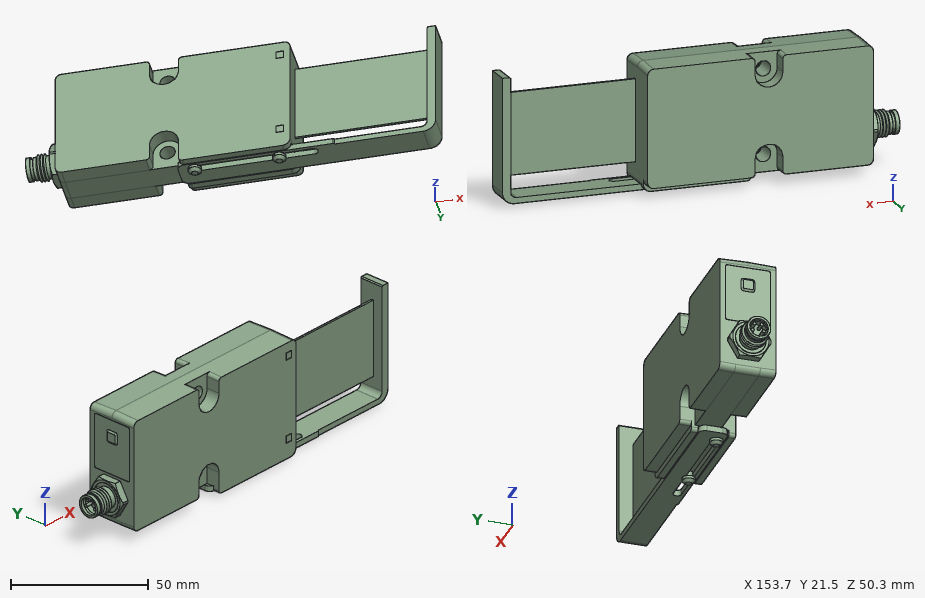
import cadquery as cq
import math


HOUSING_LENGTH = 87.6
HOUSING_WIDTH = 21.5
HOUSING_HEIGHT = 45.8
TOP_DRAFT = 0.3
BOTTOM_DRAFT = 0.2
BOTTOM_STRIP_WIDTH = 9.5
CORNER_RADIUS = 2.3
HALF_WIDTH = HOUSING_WIDTH / 2

MOUNT_X = 40.6
MOUNT_Z_LOW = 6.8
MOUNT_Z_HIGH = 39.4
MOUNT_HOLE_DIAMETER = 5.7
POCKET_WIDTH = 10.8
POCKET_FLOOR_Y = 4.9
POCKET_LIP_RADIUS = 1.4

FOOT_START_X = MOUNT_X + POCKET_WIDTH / 2
FOOT_BACK_Y = 6.3
FOOT_DEPTH = 2.3
FOOT_END_RADIUS = 2.9
CHANNEL_FRONT_Y = -8.1
CHANNEL_BACK_Y = 3.7

WINDOW_SIZE = 2.9
WINDOW_X = 83.8
WINDOW_DEPTH = 0.2
WINDOW_Z = (5.7, 40.0)
PANEL_WIDTH = 17.2
PANEL_BOTTOM_Z = 20.1
PANEL_TOP_Z = 42.6
PANEL_DEPTH = 0.2
PANEL_RADIUS = 0.8
BUTTON_SIZE = 5.2
BUTTON_Z = 35.5
BUTTON_RADIUS = 1.0
BUTTON_RISE = 0.5
BUTTON_SLOPE_WIDTH = 0.8

CONNECTOR_Z = 12.0
CONNECTOR_LENGTH = 12.6
NUT_THICKNESS = 3.2
NUT_FLATS = 14.1
NUT_CORNER_WIDTH = 15.8
NUT_FACE_RADIUS = 6.9
NUT_CHAMFER = 0.8
NUT_RECESS_RADIUS = 5.8
NUT_RECESS_DEPTH = 0.5
RIM_RADIUS = 4.5
RIM_LENGTH = 1.5
GROOVE_RADIUS = 3.8
GROOVE_LENGTH = 1.0
NECK_RADIUS = 4.3
THREAD_RADIUS = 5.0
THREAD_START = 3.8
THREAD_PITCH = 1.2
THREAD_TURNS = 3
SOCKET_RADIUS = 3.5
SOCKET_DEPTH = 4.6
PIN_RADIUS = 0.6
PIN_LENGTH = 3.7
PIN_PLACES = ((-1.4, 1.8), (1.4, 1.8), (-2.2, -0.8), (2.2, -0.8))

BRACKET_START_X = 44.6
BRACKET_END_X = 141.1
BRACKET_FRONT_Y = -7.2
BRACKET_BACK_Y = 3.2
WIDE_FRONT_Y = -7.7
WIDE_END_X = 103.5
BRACKET_START_RADIUS = 2.5
PLATE_THICKNESS = 3.2
PLATE_CHAMFER = 0.5
BEND_INNER_RADIUS = 2.3
BEND_OUTER_RADIUS = 4.6
SLOT_WIDTH = 3.0
SLOT_END_X = 96.7

SCREW_Y = -4.8
SCREW_X = (50.7, 82.2)
SHANK_DIAMETER = SLOT_WIDTH
SHANK_DEPTH = 4.6
HEAD_RADIUS = 2.5
HEAD_RIM_HEIGHT = 1.0
HEAD_TOP_RADIUS = 1.2
HEAD_HEIGHT = 2.2

BAND_BOTTOM_Z = 6.9
BAND_TOP_Z = 38.5
BAND_FRONT_Y = -3.0
BAND_THICKNESS = 0.9


def box(x_range, y_range, z_range):
    """Box between the given limits along each axis."""
    size = [high - low for low, high in (x_range, y_range, z_range)]
    return (
        cq.Workplane("XY")
        .box(*size, centered=False)
        .translate((x_range[0], y_range[0], z_range[0]))
    )


def cylinder_along_x(radius, x_start, x_end):
    """Cylinder on the connector axis."""
    return (
        cq.Workplane("YZ", origin=(x_start, 0, CONNECTOR_Z))
        .circle(radius)
        .extrude(x_end - x_start)
    )


def make_shell():
    """Main block: the top slopes down from a central ridge and the bottom up from a flat strip."""
    side_top = HOUSING_HEIGHT - TOP_DRAFT
    return (
        cq.Workplane("YZ")
        .polyline(
            [
                (-HALF_WIDTH, BOTTOM_DRAFT),
                (-BOTTOM_STRIP_WIDTH / 2, 0),
                (BOTTOM_STRIP_WIDTH / 2, 0),
                (HALF_WIDTH, BOTTOM_DRAFT),
                (HALF_WIDTH, side_top),
                (0, HOUSING_HEIGHT),
                (-HALF_WIDTH, side_top),
            ]
        )
        .close()
        .extrude(HOUSING_LENGTH)
        .faces("<X or >X")
        .edges("not |Z")
        .fillet(CORNER_RADIUS)
    )


def make_foot():
    """Foot under the rear of the housing, channelled lengthwise for the bracket."""
    top_z = CORNER_RADIUS + FOOT_END_RADIUS
    foot = box((FOOT_START_X, HOUSING_LENGTH), (-HALF_WIDTH, FOOT_BACK_Y), (-FOOT_DEPTH, top_z))
    foot = foot.edges("<Z and >X").fillet(FOOT_END_RADIUS)
    foot = foot.edges("<Z and <X").fillet(POCKET_LIP_RADIUS)
    channel = box(
        (FOOT_START_X, HOUSING_LENGTH), (CHANNEL_FRONT_Y, CHANNEL_BACK_Y), (-FOOT_DEPTH, 0)
    )
    return foot.cut(channel)


def cut_pocket(shell, mount_z, direction, side):
    """Cut a pocket that opens up (direction 1) or down (-1), in the front (side -1) or back (1)."""
    half = POCKET_WIDTH / 2
    depth = HALF_WIDTH - POCKET_FLOOR_Y
    open_z = HOUSING_HEIGHT if direction > 0 else 0
    pocket = (
        cq.Workplane("XZ", origin=(MOUNT_X, max(side * POCKET_FLOOR_Y, side * HALF_WIDTH), 0))
        .moveTo(-half, open_z)
        .lineTo(-half, mount_z)
        .threePointArc((0, mount_z - direction * half), (half, mount_z))
        .lineTo(half, open_z)
        .close()
        .extrude(depth)
    )
    pocketed = shell.cut(pocket)
    middle_y = side * (HALF_WIDTH + POCKET_FLOOR_Y) / 2
    for lip_x in (MOUNT_X - half, MOUNT_X + half):
        lip = cq.selectors.NearestToPointSelector((lip_x, middle_y, open_z))
        pocketed = pocketed.edges(lip).fillet(POCKET_LIP_RADIUS)
    return pocketed


def make_mount_holes():
    return (
        cq.Workplane("XZ", origin=(MOUNT_X, HALF_WIDTH, 0))
        .pushPoints([(0, MOUNT_Z_LOW), (0, MOUNT_Z_HIGH)])
        .circle(MOUNT_HOLE_DIAMETER / 2)
        .extrude(HOUSING_WIDTH)
    )


def make_windows():
    """Shallow square windows in the front face."""
    return (
        cq.Workplane("XZ", origin=(WINDOW_X, -HALF_WIDTH + WINDOW_DEPTH, 0))
        .pushPoints([(0, z) for z in WINDOW_Z])
        .rect(WINDOW_SIZE, WINDOW_SIZE)
        .extrude(WINDOW_DEPTH)
    )


def make_panel():
    """Shallow recess in the connector end of the housing."""
    panel = box(
        (0, PANEL_DEPTH), (-PANEL_WIDTH / 2, PANEL_WIDTH / 2), (PANEL_BOTTOM_Z, PANEL_TOP_Z)
    )
    return panel.edges("|X").fillet(PANEL_RADIUS)


def rounded_square(size, radius):
    return cq.Sketch().rect(size, size).vertices().fillet(radius)


def make_button():
    """Raised square button in the panel, with a sloping border around its face."""
    base = rounded_square(BUTTON_SIZE, BUTTON_RADIUS)
    face = rounded_square(BUTTON_SIZE - 2 * BUTTON_SLOPE_WIDTH, BUTTON_RADIUS - BUTTON_SLOPE_WIDTH)
    rise = BUTTON_RISE + PANEL_DEPTH
    return (
        cq.Workplane("YZ", origin=(PANEL_DEPTH, 0, BUTTON_Z))
        .placeSketch(base, face.moved(cq.Location(cq.Vector(0, 0, -rise))))
        .loft()
    )


def make_nut():
    """Hexagon nut with flats above and below, two cut corners and a recessed, chamfered face."""
    hexagon = (
        cq.Workplane("YZ", origin=(-NUT_THICKNESS, 0, CONNECTOR_Z))
        .polygon(6, NUT_FLATS / math.cos(math.pi / 6))
        .extrude(NUT_THICKNESS)
    )
    half = NUT_CORNER_WIDTH / 2
    corner_limit = box((-NUT_THICKNESS, 0), (-half, half), (0, CONNECTOR_Z + NUT_FLATS))
    chamfer_limit = (
        cylinder_along_x(NUT_FACE_RADIUS + 2 * NUT_CHAMFER, -NUT_THICKNESS, 0)
        .faces("<X")
        .chamfer(NUT_CHAMFER, 2 * NUT_CHAMFER)
    )
    recess = cylinder_along_x(NUT_RECESS_RADIUS, -NUT_THICKNESS, -NUT_THICKNESS + NUT_RECESS_DEPTH)
    return hexagon.intersect(corner_limit).intersect(chamfer_limit).cut(recess)


def make_barrel():
    """Threaded barrel with a socket, turned about the connector axis."""
    tip_x = -CONNECTOR_LENGTH
    thread_x = tip_x + THREAD_START
    profile = (
        cq.Workplane("XY")
        .moveTo(0, 0)
        .lineTo(tip_x + SOCKET_DEPTH, 0)
        .lineTo(tip_x + SOCKET_DEPTH, SOCKET_RADIUS)
        .lineTo(tip_x, SOCKET_RADIUS)
        .lineTo(tip_x, RIM_RADIUS)
        .lineTo(tip_x + RIM_LENGTH, RIM_RADIUS)
        .lineTo(tip_x + RIM_LENGTH, GROOVE_RADIUS)
        .lineTo(tip_x + RIM_LENGTH + GROOVE_LENGTH, GROOVE_RADIUS)
        .lineTo(tip_x + RIM_LENGTH + GROOVE_LENGTH, NECK_RADIUS)
    )
    for turn in range(THREAD_TURNS):
        root_x = thread_x + turn * THREAD_PITCH
        profile = profile.lineTo(root_x, NECK_RADIUS)
        profile = profile.lineTo(root_x + THREAD_PITCH / 2, THREAD_RADIUS)
    profile = profile.lineTo(thread_x + THREAD_TURNS * THREAD_PITCH, NECK_RADIUS).lineTo(0, NECK_RADIUS)
    return profile.close().revolve(360, (0, 0), (1, 0)).translate((0, 0, CONNECTOR_Z))


def make_contact_pins():
    return (
        cq.Workplane("YZ", origin=(-CONNECTOR_LENGTH + SOCKET_DEPTH, 0, CONNECTOR_Z))
        .pushPoints(PIN_PLACES)
        .circle(PIN_RADIUS)
        .extrude(-PIN_LENGTH)
    )


def make_housing():
    """Sensor housing with its built-in connector."""
    housing = make_shell()
    for side in (-1, 1):
        housing = cut_pocket(housing, MOUNT_Z_LOW, -1, side)
        housing = cut_pocket(housing, MOUNT_Z_HIGH, 1, side)
    housing = housing.union(make_foot()).cut(make_mount_holes())
    housing = housing.cut(make_windows()).cut(make_panel()).union(make_button())
    housing = housing.union(make_nut()).union(make_barrel()).union(make_contact_pins())
    for x in SCREW_X:
        housing = housing.cut(make_shank(x))
    return housing


def make_widening():
    """Wider stretch along the front edge of the bracket strip, with a sloping end."""
    step = BRACKET_FRONT_Y - WIDE_FRONT_Y
    return (
        cq.Workplane("XY", origin=(0, 0, -FOOT_DEPTH))
        .polyline(
            [
                (BRACKET_START_X, BRACKET_BACK_Y),
                (BRACKET_START_X, WIDE_FRONT_Y),
                (WIDE_END_X - step, WIDE_FRONT_Y),
                (WIDE_END_X, BRACKET_FRONT_Y),
                (WIDE_END_X, BRACKET_BACK_Y),
            ]
        )
        .close()
        .extrude(FOOT_DEPTH)
    )


def make_bracket():
    """L-shaped bracket: a slotted strip under the housing, bent up into an end plate."""
    y_range = (BRACKET_FRONT_Y, BRACKET_BACK_Y)
    blank = box((BRACKET_START_X, BRACKET_END_X), y_range, (-FOOT_DEPTH, HOUSING_HEIGHT))
    blank = blank.edges("<Z and >X").fillet(BEND_OUTER_RADIUS)
    inside = box((BRACKET_START_X, BRACKET_END_X - PLATE_THICKNESS), y_range, (0, HOUSING_HEIGHT))
    inside = inside.edges("<Z and >X").fillet(BEND_INNER_RADIUS)
    plate_top = blank.cut(inside).faces(">Z").edges("<X")
    bracket = plate_top.chamfer(PLATE_CHAMFER).union(make_widening())
    bracket = bracket.edges("|Z and <X").fillet(BRACKET_START_RADIUS)

    slot_start_x = SCREW_X[0] - SLOT_WIDTH / 2
    slot = (
        cq.Workplane("XY", origin=((slot_start_x + SLOT_END_X) / 2, SCREW_Y, -FOOT_DEPTH))
        .slot2D(SLOT_END_X - slot_start_x, SLOT_WIDTH)
        .extrude(FOOT_DEPTH)
    )
    return bracket.cut(slot)


def make_shank(x):
    """Screw shank, from the underside of the bracket up into the housing."""
    return (
        cq.Workplane("XY", origin=(x, SCREW_Y, -FOOT_DEPTH))
        .circle(SHANK_DIAMETER / 2)
        .extrude(FOOT_DEPTH + SHANK_DEPTH)
    )


def make_screw(x):
    """Screw whose tapered head bears against the underside of the bracket."""
    head = (
        cq.Workplane("XZ")
        .lineTo(HEAD_RADIUS, 0)
        .lineTo(HEAD_RADIUS, -HEAD_RIM_HEIGHT)
        .lineTo(HEAD_TOP_RADIUS, -HEAD_HEIGHT)
        .lineTo(0, -HEAD_HEIGHT)
        .close()
        .revolve(360, (0, 0), (0, 1))
        .translate((x, SCREW_Y, -FOOT_DEPTH))
    )
    return head.union(make_shank(x))


def make_light_band():
    """Thin upright sheet from the housing to the end plate."""
    return box(
        (HOUSING_LENGTH, BRACKET_END_X - PLATE_THICKNESS),
        (BAND_FRONT_Y, BAND_FRONT_Y + BAND_THICKNESS),
        (BAND_BOTTOM_Z, BAND_TOP_Z),
    )


housing = make_housing()
bracket = make_bracket()
light_band = make_light_band()
screws = [make_screw(x).val() for x in SCREW_X]

result = cq.Compound.makeCompound([housing.val(), bracket.val(), light_band.val(), *screws])